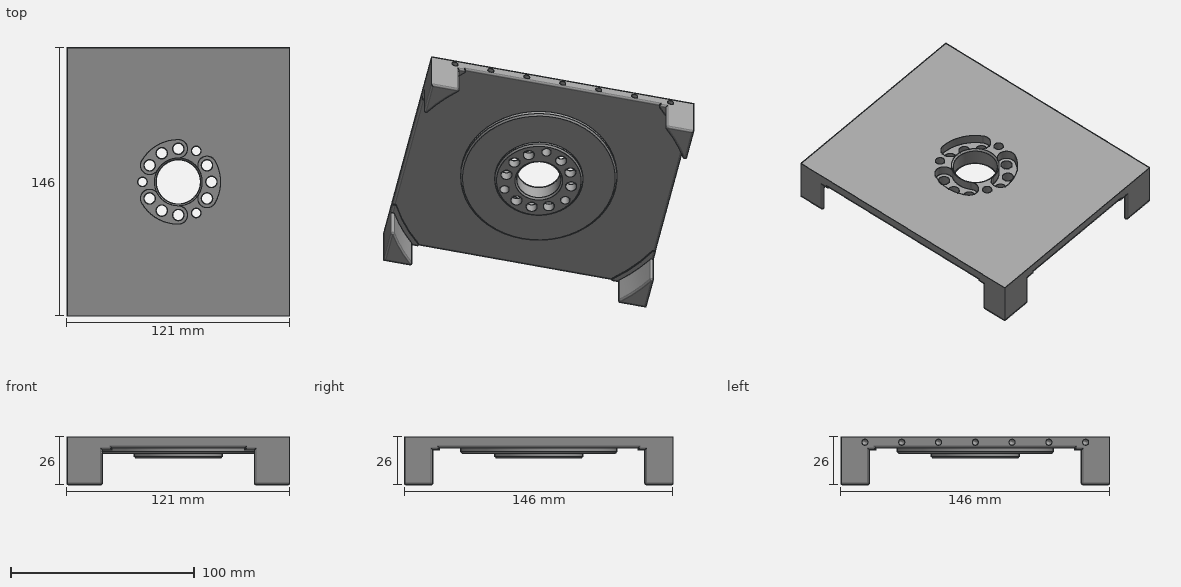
import cadquery as cq
import math

WIDTH_X = 121.0
WIDTH_Y = 146.0
HEIGHT = 26.0

PLATE_THICKNESS = 6.0
PAD_THICKNESS = 7.0
PAD_RADIUS = 80.0
LEG_RADIUS = 82.5

EDGE_FILLET = 1.0

FLANGE_DIAMETER = 85.0
FLANGE_BOTTOM = 9.0
FLANGE_CHAMFER = 1.0
SPIGOT_DIAMETER = 48.0
SPIGOT_BOTTOM = 11.5
SPIGOT_CHAMFER = 1.0

BORE_DIAMETER = 24.0
BORE_CHAMFER = 1.0

POCKET_PITCH_RADIUS = 18.0
POCKET_WIDTH = 10.0
POCKET_DEPTH = 5.5
POCKET_CENTER_ANGLES = (0.0, 120.0, 240.0)
POCKET_HALF_ANGLE = 30.0
SCREW_HOLE_DIAMETER = 6.0

DOWEL_PITCH_RADIUS = 19.5
DOWEL_DIAMETER = 5.0
DOWEL_ANGLES = (60.0, 180.0, 300.0)

SIDE_HOLE_COUNT = 7
SIDE_HOLE_PITCH = 20.0
SIDE_HOLE_DIAMETER = 3.3
SIDE_HOLE_Z = -2.85
SIDE_HOLE_DEPTH = 10.0
DRILL_POINT_ANGLE = 118.0

POSITION_TOLERANCE = 1e-4


def disc(radius, z_top, z_bottom):
    """Vertical cylinder on the Z axis."""
    return cq.Workplane("XY").workplane(offset=z_bottom).circle(radius).extrude(z_top - z_bottom)


def polar(radius, angle):
    """Point at an angle in degrees around the Z axis."""
    return (radius * math.cos(math.radians(angle)), radius * math.sin(math.radians(angle)))


def make_body():
    """Plate with corner pads and legs left standing around two round clearances."""
    body = cq.Workplane("XY").box(WIDTH_X, WIDTH_Y, HEIGHT, centered=(True, True, False))
    body = body.translate((0, 0, -HEIGHT))
    body = body.cut(disc(PAD_RADIUS, -PLATE_THICKNESS, -HEIGHT))
    body = body.cut(disc(LEG_RADIUS, -PAD_THICKNESS, -HEIGHT))
    return body


def is_corner_post(edge):
    """True for a vertical edge where two side faces meet."""
    center = edge.Center()
    on_x_side = math.isclose(abs(center.x), WIDTH_X / 2, abs_tol=POSITION_TOLERANCE)
    on_y_side = math.isclose(abs(center.y), WIDTH_Y / 2, abs_tol=POSITION_TOLERANCE)
    return on_x_side and on_y_side


def round_lower_edges(body):
    """Round the lower outline of the four side faces and the leg bottoms."""
    outline_edges = body.faces("<X or >X or <Y or >Y").edges("not(>Z)").vals()
    leg_bottom_edges = body.faces("<Z").edges().vals()
    chosen = []
    for edge in outline_edges + leg_bottom_edges:
        already_chosen = any(edge.isSame(other) for other in chosen)
        if not already_chosen and not is_corner_post(edge):
            chosen.append(edge)
    return body.newObject(chosen).fillet(EDGE_FILLET)


def make_flange():
    """Stepped round flange hanging below the plate."""
    flange = disc(FLANGE_DIAMETER / 2, -PLATE_THICKNESS, -FLANGE_BOTTOM)
    flange = flange.faces("<Z").edges().chamfer(FLANGE_CHAMFER)
    spigot = disc(SPIGOT_DIAMETER / 2, -PLATE_THICKNESS, -SPIGOT_BOTTOM)
    spigot = spigot.faces("<Z").edges().chamfer(SPIGOT_CHAMFER)
    return flange.union(spigot)


def make_bore():
    """Through bore with a chamfered mouth at the plate top and at the spigot bottom."""
    bore = disc(BORE_DIAMETER / 2, 0, -SPIGOT_BOTTOM)
    return bore.union(bore_mouth(0, -1)).union(bore_mouth(-SPIGOT_BOTTOM, 1))


def bore_mouth(z, inward):
    """Cone that chamfers a bore end at height z; inward is the Z direction into the bore."""
    radius = BORE_DIAMETER / 2
    mouth = cq.Workplane("XY").workplane(offset=z).circle(radius + BORE_CHAMFER)
    return mouth.workplane(offset=inward * BORE_CHAMFER).circle(radius).loft(ruled=True)


def make_pocket(center_angle):
    """Arc slot with rounded ends, centred on the given angle."""
    start = center_angle - POCKET_HALF_ANGLE
    end = center_angle + POCKET_HALF_ANGLE
    inner = POCKET_PITCH_RADIUS - POCKET_WIDTH / 2
    outer = POCKET_PITCH_RADIUS + POCKET_WIDTH / 2
    band = cq.Workplane("XY").moveTo(*polar(outer, start))
    band = band.threePointArc(polar(outer, center_angle), polar(outer, end))
    band = band.lineTo(*polar(inner, end))
    band = band.threePointArc(polar(inner, center_angle), polar(inner, start))
    band = band.close().extrude(-POCKET_DEPTH)
    end_points = [polar(POCKET_PITCH_RADIUS, angle) for angle in (start, end)]
    ends = cq.Workplane("XY").pushPoints(end_points).circle(POCKET_WIDTH / 2).extrude(-POCKET_DEPTH)
    return band.union(ends)


def through_holes(diameter, pitch_radius, angles):
    """Vertical through holes on a pitch circle."""
    points = [polar(pitch_radius, angle) for angle in angles]
    return cq.Workplane("XY").pushPoints(points).circle(diameter / 2).extrude(-HEIGHT)


def make_side_hole(y):
    """Drilled blind hole with a conical end, entering the -X face."""
    radius = SIDE_HOLE_DIAMETER / 2
    tip = radius / math.tan(math.radians(DRILL_POINT_ANGLE / 2))
    profile = [(0, 0), (SIDE_HOLE_DEPTH + tip, 0), (SIDE_HOLE_DEPTH, radius), (0, radius)]
    drill = cq.Workplane("XY").polyline(profile).close().revolve(360, (0, 0), (1, 0))
    return drill.translate((-WIDTH_X / 2, y, SIDE_HOLE_Z))


result = round_lower_edges(make_body()).union(make_flange()).cut(make_bore())

for pocket_angle in POCKET_CENTER_ANGLES:
    result = result.cut(make_pocket(pocket_angle))
    screw_angles = [pocket_angle + offset for offset in (-POCKET_HALF_ANGLE, 0, POCKET_HALF_ANGLE)]
    result = result.cut(through_holes(SCREW_HOLE_DIAMETER, POCKET_PITCH_RADIUS, screw_angles))

result = result.cut(through_holes(DOWEL_DIAMETER, DOWEL_PITCH_RADIUS, DOWEL_ANGLES))

for index in range(SIDE_HOLE_COUNT):
    hole_y = (index - (SIDE_HOLE_COUNT - 1) / 2) * SIDE_HOLE_PITCH
    result = result.cut(make_side_hole(hole_y))